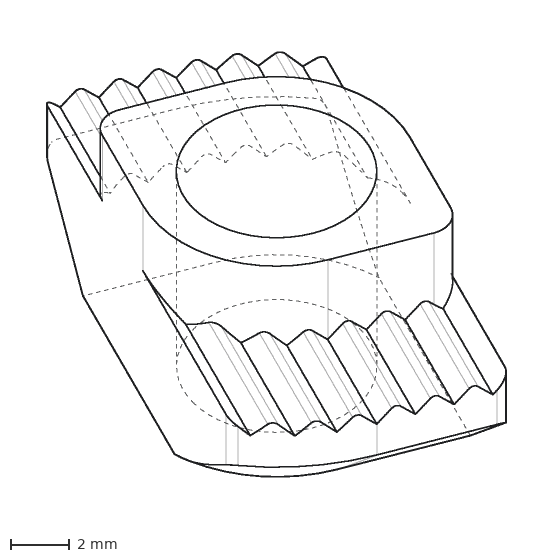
import cadquery as cq
import math

length = 19.0
width = 9.7
body_height = 5.83
taper_height = 3.8
taper_angle = 45.0
body_corner_radius = 0.5

boss_height = 2.96
boss_corner_radius = 1.0
bore_diameter = 6.8

groove_pitch = 1.4
groove_count = 7
ridge_radius = 0.23
last_valley_y = (groove_count - 1) / 2 * groove_pitch
groove_depth = width / 2 - last_valley_y

total_height = body_height + boss_height


def turning_outline(half_size, z=0):
    """Square with two opposite corners replaced by quarter circles about the Z axis."""
    mid = half_size / math.sqrt(2)
    return (
        cq.Workplane("XY", origin=(0, 0, z))
        .moveTo(half_size, 0)
        .lineTo(half_size, half_size)
        .lineTo(0, half_size)
        .threePointArc((-mid, mid), (-half_size, 0))
        .lineTo(-half_size, -half_size)
        .lineTo(0, -half_size)
        .threePointArc((mid, -mid), (half_size, 0))
        .close()
    )


def make_body():
    """Straight-sided prism with rounded corners, trimmed by the tapered underside."""
    slab = cq.Workplane("XY").box(length, width, body_height, centered=(True, True, False))
    prism = turning_outline(length / 2).extrude(body_height).intersect(slab)
    prism = prism.edges("|Z").edges(">Y or <Y").fillet(body_corner_radius)

    underside = turning_outline(length / 2 - taper_height).extrude(taper_height, taper=-taper_angle)
    upper = turning_outline(length / 2, taper_height).extrude(body_height - taper_height)
    return prism.intersect(underside.union(upper))


def make_grooves():
    """Toothed cutter whose lower side gives straight flanks and rounded ridges between grooves."""
    valley_z = body_height - groove_depth
    half_pitch = groove_pitch / 2
    center_z = valley_z + half_pitch - ridge_radius * math.sqrt(2)
    tangent_offset = ridge_radius * math.sin(math.radians(45))
    tangent_z = center_z + tangent_offset
    crest_z = center_z + ridge_radius
    middle_offset = ridge_radius * math.sin(math.radians(22.5))
    middle_z = center_z + ridge_radius * math.cos(math.radians(22.5))

    profile = (
        cq.Workplane("YZ", origin=(-length / 2, 0, 0))
        .moveTo(-width / 2, body_height)
        .lineTo(-last_valley_y, valley_z)
    )
    for index in range(groove_count - 1):
        ridge_y = -last_valley_y + (index + 0.5) * groove_pitch
        profile = (
            profile.lineTo(ridge_y - tangent_offset, tangent_z)
            .threePointArc((ridge_y - middle_offset, middle_z), (ridge_y, crest_z))
            .threePointArc((ridge_y + middle_offset, middle_z), (ridge_y + tangent_offset, tangent_z))
            .lineTo(ridge_y + half_pitch, valley_z)
        )
    return profile.lineTo(width / 2, body_height).close().extrude(length)


def make_boss():
    """Boss across the full width, rounded on its two square corners."""
    boss = turning_outline(width / 2).extrude(total_height)
    return boss.edges("|Z").edges(">(1, 1, 0) or <(1, 1, 0)").fillet(boss_corner_radius)


bore = cq.Workplane("XY").circle(bore_diameter / 2).extrude(total_height)

result = make_body().cut(make_grooves()).union(make_boss()).cut(bore)